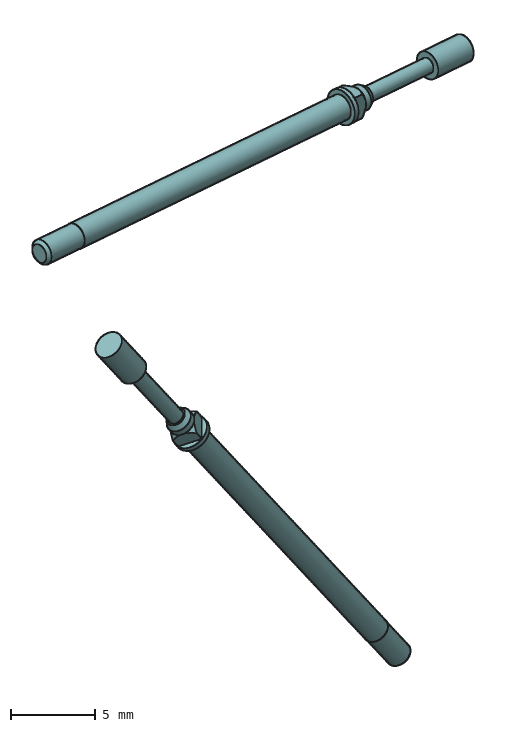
import cadquery as cq

LENGTH = 35.8

HEAD_DIAMETER = 1.8
STEM_DIAMETER = 1.0
COLLAR_DIAMETER = 1.65
COLLAR_TIP_DIAMETER = 1.25
FLANGE_DIAMETER = 2.3
BARREL_DIAMETER = 1.65
FOOT_DIAMETER = 1.6

SQUARE_WIDTH = 1.6

HEAD_LENGTH = 3.0
STEM_LENGTH = 5.23
COLLAR_TAPER_LENGTH = 0.35
COLLAR_LENGTH = 0.43
SQUARE_LENGTH = 0.95
FLANGE_LENGTH = 0.32
FOOT_LENGTH = 3.0
FOOT_CHAMFER = 0.2

foot_end = -LENGTH / 2
head_end = LENGTH / 2
barrel_start = foot_end + FOOT_LENGTH
stem_end = head_end - HEAD_LENGTH
taper_end = stem_end - STEM_LENGTH
collar_end = taper_end - COLLAR_TAPER_LENGTH
square_end = collar_end - COLLAR_LENGTH
flange_end = square_end - SQUARE_LENGTH
barrel_end = flange_end - FLANGE_LENGTH


def disc(diameter, start, end):
    """Cylinder on the pin axis between two Y stations."""
    plane = cq.Workplane("XZ", origin=(0, start, 0))
    return plane.circle(diameter / 2).extrude(start - end)


def frustum(start_diameter, end_diameter, start, end):
    """Cone section on the pin axis between two Y stations."""
    profile = [
        (0, start),
        (start_diameter / 2, start),
        (end_diameter / 2, end),
        (0, end),
    ]
    return cq.Workplane("XY").polyline(profile).close().revolve(360, (0, 0), (0, 1))


def foot():
    """Slightly thinner end of the barrel with a chamfered rim."""
    return disc(FOOT_DIAMETER, foot_end, barrel_start).faces("<Y").chamfer(FOOT_CHAMFER)


def square_section():
    """Square whose corners are cut back at 45 degrees where they meet the collar."""
    square = (
        cq.Workplane("XZ", origin=(0, flange_end, 0))
        .rect(SQUARE_WIDTH, SQUARE_WIDTH)
        .extrude(-SQUARE_LENGTH)
    )
    base_diameter = COLLAR_DIAMETER + 2 * SQUARE_LENGTH
    return square.intersect(frustum(base_diameter, COLLAR_DIAMETER, flange_end, square_end))


result = (
    foot()
    .union(disc(BARREL_DIAMETER, barrel_start, barrel_end))
    .union(disc(FLANGE_DIAMETER, barrel_end, flange_end))
    .union(square_section())
    .union(disc(COLLAR_DIAMETER, square_end, collar_end))
    .union(frustum(COLLAR_DIAMETER, COLLAR_TIP_DIAMETER, collar_end, taper_end))
    .union(disc(STEM_DIAMETER, taper_end, stem_end))
    .union(disc(HEAD_DIAMETER, stem_end, head_end))
)